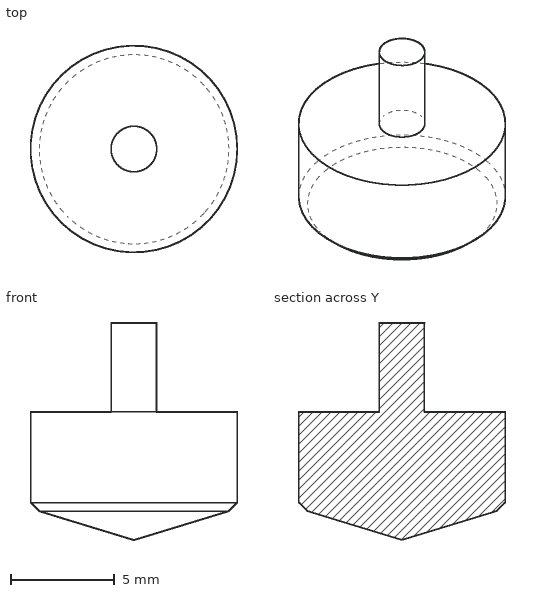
import cadquery as cq

total_height = 10.5
body_diameter = 10.0
stem_diameter = 2.2
stem_length = 4.3
chamfer_size = 0.42
tip_height = 1.4

body_radius = body_diameter / 2
stem_radius = stem_diameter / 2
tip_radius = body_radius - chamfer_size

chamfer_top = tip_height + chamfer_size
body_top = total_height - stem_length

result = (
    cq.Workplane("XZ")
    .moveTo(0, 0)
    .lineTo(tip_radius, tip_height)
    .lineTo(body_radius, chamfer_top)
    .lineTo(body_radius, body_top)
    .lineTo(stem_radius, body_top)
    .lineTo(stem_radius, total_height)
    .lineTo(0, total_height)
    .close()
    .revolve(360, (0, 0, 0), (0, 1, 0))
)